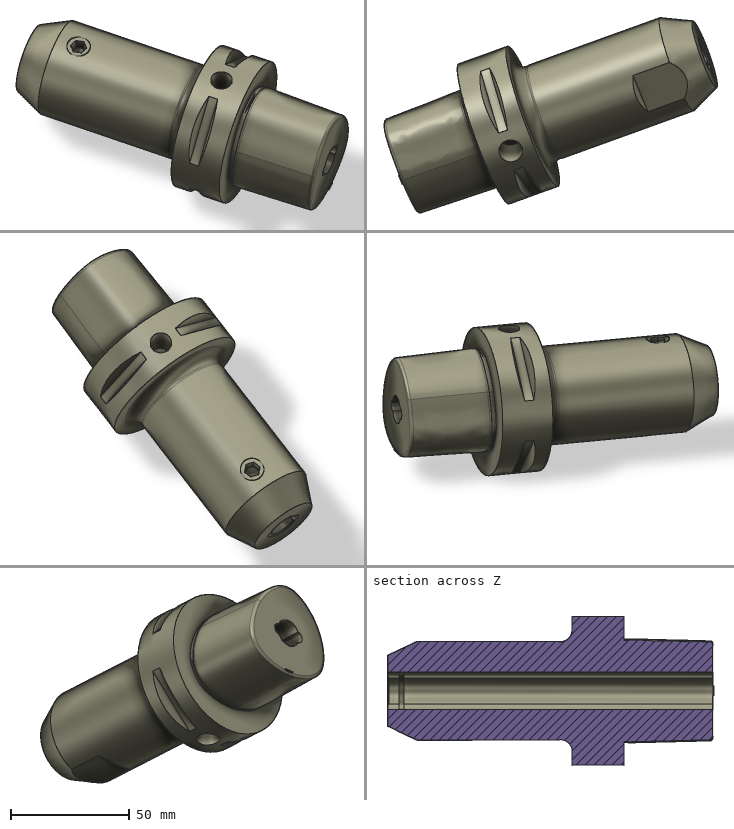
import cadquery as cq
import math

total_length = 138.0
flange_start = 78.0
flange_end = 100.0
shank_end = 137.6

nose_radius = 15.0
nose_length = 12.5
body_radius = 21.0
relief_radius = 20.77
flange_radius = 31.53
root_fillet = 5.0
relief_taper = 0.8
flat_height = 19.0
flat_end = 29.1

lobe_mean_radius = 22.01
lobe_eccentricity = 1.4
shank_taper = 1 / 40
shank_straight_end = 102.8
shank_end_fillet = 1.2
neck_radius = 22.6
neck_end = 102.0
neck_ramp = 1.0
neck_clearance = 0.1
neck_trim_depth = 2.8

slot_centre = 87.9
slot_floor_distance = 27.7
slot_floor_width = 4.0
slot_mouth_width = 7.7
upper_hole_diameter = 9.0
lower_hole_diameter = 10.0
hole_floor_radius = 12.4

bore_radius = 6.0
bore_chamfer = 0.62
groove_start = 4.8
groove_end = 6.9
groove_radius = 7.9
channel_diameter = 5.0
channel_offset = groove_radius - channel_diameter / 2

screw_centre = 22.4
screw_diameter = 10.0
screw_top = 20.4
hex_across_flats = 6.0
hex_angle = 13.0
hex_depth = 5.0
hex_cone_height = 1.7

mark_width = 4.1
mark_height = 0.5
mark_centre_height = -18.4


def x_cylinder(radius, start, end, y=0.0, z=0.0):
    return cq.Workplane("YZ", origin=(start, y, z)).circle(radius).extrude(end - start)


def make_body():
    profile = (
        cq.Workplane("XY")
        .moveTo(0, 0)
        .lineTo(0, nose_radius)
        .lineTo(nose_length, body_radius)
        .lineTo(flange_start - root_fillet - relief_taper, body_radius)
        .lineTo(flange_start - root_fillet, relief_radius)
        .radiusArc((flange_start, relief_radius + root_fillet), -root_fillet)
        .lineTo(flange_start, flange_radius)
        .lineTo(flange_end, flange_radius)
        .lineTo(flange_end, 0)
        .close()
    )
    return profile.revolve(360, (0, 0, 0), (1, 0, 0))


def lobe_point(angle, mean_radius):
    """Point (Y, Z) of the lobed outline whose normal is at this angle from +Z."""
    support = mean_radius + lobe_eccentricity * math.cos(3 * angle)
    slope = -3 * lobe_eccentricity * math.sin(3 * angle)
    y = support * math.sin(angle) + slope * math.cos(angle)
    z = support * math.cos(angle) - slope * math.sin(angle)
    return (y, z)


def lobe_wire(x, mean_radius, points_per_lobe=12):
    """Closed outline of three lobes; they meet at the flattest places."""
    lobe_angle = 2 * math.pi / 3
    edges = []
    for lobe in range(3):
        first = (lobe - 0.5) * lobe_angle
        angles = [first + lobe_angle * i / points_per_lobe for i in range(points_per_lobe + 1)]
        points = [cq.Vector(x, *lobe_point(angle, mean_radius)) for angle in angles]
        tangents = [cq.Vector(0, math.cos(a), -math.sin(a)) for a in (angles[0], angles[-1])]
        edges.append(cq.Edge.makeSpline(points, tangents=tangents))
    return cq.Wire.assembleEdges(edges)


def make_shank():
    end_mean_radius = lobe_mean_radius - shank_taper * (shank_end - shank_straight_end)
    wide = lobe_wire(shank_straight_end, lobe_mean_radius)
    narrow = lobe_wire(shank_end, end_mean_radius)
    lip = lobe_wire(neck_end, lobe_mean_radius)
    neck = [lobe_wire(x, lobe_mean_radius - neck_clearance) for x in (flange_end, neck_end)]
    taper = cq.Workplane(cq.Solid.makeLoft([wide, narrow], True))
    taper = taper.faces(">X").edges().fillet(shank_end_fillet)
    straight = cq.Workplane(cq.Solid.makeLoft([lip, wide], True))
    root = cq.Workplane(cq.Solid.makeLoft(neck, True))
    return root.union(straight).union(taper).cut(make_neck_ring())


def make_neck_ring():
    """Ring that trims the lobe tips next to the flange, with a 45 degree far side."""
    outer_radius = neck_radius + neck_trim_depth
    ring = (
        cq.Workplane("XY")
        .moveTo(flange_end, neck_radius)
        .lineTo(neck_end - neck_ramp, neck_radius)
        .lineTo(neck_end - neck_ramp + neck_trim_depth, outer_radius)
        .lineTo(flange_end, outer_radius)
        .close()
    )
    return ring.revolve(360, (0, 0, 0), (1, 0, 0))


def make_flat_cutter():
    return (
        cq.Workplane("XZ")
        .moveTo(0, -flat_height)
        .lineTo(flat_end, -flat_height)
        .lineTo(flat_end + body_radius - flat_height, -body_radius)
        .lineTo(flat_end + body_radius - flat_height, -flange_radius)
        .lineTo(0, -flange_radius)
        .close()
        .extrude(body_radius, both=True)
    )


def make_gripper_slot(angle):
    depth = flange_radius - slot_floor_distance
    side_slope = (slot_mouth_width - slot_floor_width) / 2 / depth
    cut_height = 2 * depth
    floor_half = slot_floor_width / 2
    top_half = floor_half + side_slope * cut_height
    slot = (
        cq.Workplane("XZ")
        .moveTo(slot_centre - floor_half, slot_floor_distance)
        .lineTo(slot_centre + floor_half, slot_floor_distance)
        .lineTo(slot_centre + top_half, slot_floor_distance + cut_height)
        .lineTo(slot_centre - top_half, slot_floor_distance + cut_height)
        .close()
        .extrude(flange_radius, both=True)
    )
    return slot.rotate((0, 0, 0), (1, 0, 0), angle)


def make_bore():
    mouth_radius = bore_radius + bore_chamfer
    profile = (
        cq.Workplane("XY")
        .moveTo(0, 0)
        .lineTo(0, mouth_radius)
        .lineTo(bore_chamfer, bore_radius)
        .lineTo(groove_start, bore_radius)
        .lineTo(groove_start, groove_radius)
        .lineTo(groove_end, groove_radius)
        .lineTo(groove_end, bore_radius)
        .lineTo(total_length, bore_radius)
        .lineTo(total_length, 0)
        .close()
    )
    bore = profile.revolve(360, (0, 0, 0), (1, 0, 0))
    for side in (-1, 1):
        bore = bore.union(x_cylinder(channel_diameter / 2, 0, total_length, side * channel_offset))
    return bore


def make_screw_recess():
    seat = cq.Workplane("XY", origin=(screw_centre, 0, screw_top))
    recess = seat.circle(screw_diameter / 2).extrude(body_radius)
    hex_corners = hex_across_flats / math.cos(math.pi / 6)
    socket = seat.transformed(rotate=(0, 0, hex_angle)).polygon(6, hex_corners).extrude(-hex_depth)
    cone = cq.Solid.makeCone(
        hex_across_flats / 2,
        0,
        hex_cone_height,
        pnt=cq.Vector(screw_centre, 0, screw_top - hex_depth),
        dir=cq.Vector(0, 0, -1),
    )
    return recess.union(socket).union(cq.Workplane(cone))


def make_flange_hole(diameter, direction):
    """Radial hole, upward (1) or downward (-1), ending on a cylinder about the part axis."""
    hole = cq.Workplane("XY", origin=(slot_centre, 0, 0))
    hole = hole.circle(diameter / 2).extrude(direction * (flange_radius + 1.4))
    return hole.cut(x_cylinder(hole_floor_radius, flange_start, flange_end))


def make_end_mark():
    return cq.Workplane("XY").box(
        2 * (total_length - shank_end), mark_width, mark_height
    ).translate((shank_end, 0, mark_centre_height))


result = make_body().union(make_shank()).union(make_end_mark())
result = result.cut(make_flat_cutter())
for slot_angle in (45, 135, 225, 315):
    result = result.cut(make_gripper_slot(slot_angle))
result = result.cut(make_flange_hole(upper_hole_diameter, 1))
result = result.cut(make_flange_hole(lower_hole_diameter, -1))
result = result.cut(make_screw_recess())
result = result.cut(make_bore())